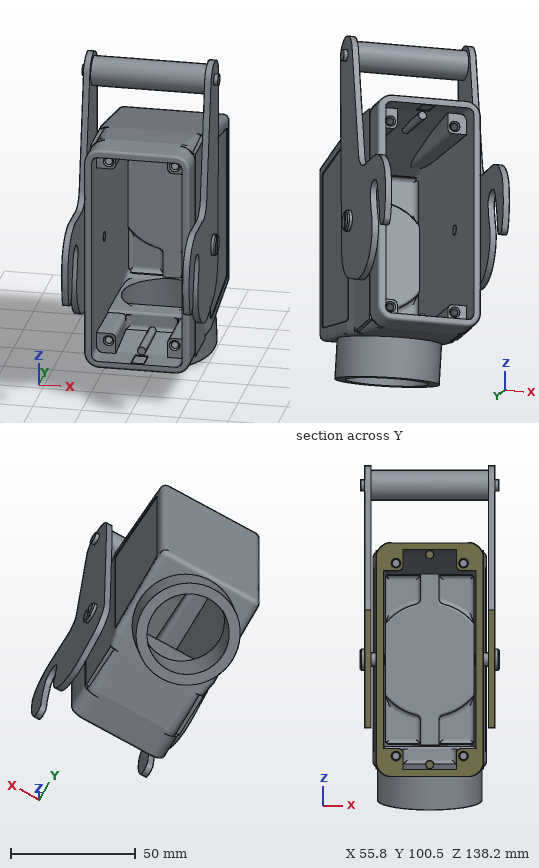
import cadquery as cq
import math


collar_half_width = 21.5
collar_half_height = 47.0
collar_depth = 11.3
collar_corner = 6.1
rim_fillet = 1.1

waist_half_width = 20.3
waist_front_y = 13.1
waist_front_corner = 4.4
waist_back_corner = 2.2

shoulder_y = 31.8
shoulder_half_height = 44.5
step_y = 35.6
step_half_width = 22.2
step_half_height = 43.8
flare_y = 38.0
flare_half_height = 43.4

rear_half_width = 22.8
rear_half_height = 36.2
rear_y = 75.9
rear_edge = 2.6
rear_end_fillet = 2.5

pad_half_height = 43.8
pad_front_y = 12.5
label_depth = 0.4
label_front_y = 37.2
label_back_y = 70.9
label_front_half_height = 38.0
label_back_half_height = 32.0
label_corner = 1.7

mouth_half_width = 18.5
mouth_half_height = 44.1
mouth_corner = 2.8
throat_half_width = 18.2
throat_half_height = 41.9
wall = 2.8
floor_y = rear_y - wall
floor_half_width = 17.8
floor_half_height = 33.7
floor_corner = 2.0
plateau_height = 3.0
plateau_radius = 23.0
plateau_stem_half_width = 3.7
plateau_corner = 2.2
plateau_edge_fillet = 1.0
recess_fillet = 1.8

post_front_y = 9.7
post_inner_x = 10.6
post_inner_z = 35.6
post_corner = 2.1
screw_x = 13.5
screw_z = 38.7
screw_diameter = 3.0
screw_countersink = 4.3
screw_depth = 11.0
coding_pin_radius = 1.7
coding_pin_z = 42.1
coding_groove_width = 5.3
coding_groove_depth = 0.4
coding_groove_front_y = 1.1

spout_tilt = 11.0
spout_radius = 21.0
spout_end_y = 56.6
spout_end_z = -56.4
spout_length = 18.2
bore_radius = 16.6
bore_depth = 24.2
spout_step_y = 31.8
spout_step_top_z = -34.8
spout_step_foot_z = -42.0
spout_step_fillet = 1.8
spout_step_edge = 1.1

plate_inner_x = 23.5
plate_thickness = 2.6
plate_outer_x = plate_inner_x + plate_thickness
handle_y = 28.6
handle_z = 69.9
handle_end_radius = 7.9
roller_radius = 6.1
handle_pin_radius = 2.3
handle_pin_end_x = 27.8

pivot_y = 24.7
pivot_radius = 2.8
pivot_tip_radius = 2.1
pivot_head_radius = 4.3
pivot_head_end_x = 27.9
pivot_head_chamfer = 0.5
screwdriver_width = 1.0
screwdriver_depth = 0.7
screwdriver_tilt = 5.0

lobe_y = 11.3
lobe_z = -10.2
lobe_radius = 17.1
hook_y = -8.5
hook_z = 3.9
hook_radius = 14.5
hook_slot_y = -8.0
hook_slot_z = 3.6
hook_slot_radius = 4.8
hook_tip_y = -18.8
hook_tip_z = -10.0
hook_tip_radius = 3.0

arm_rear_top = (36.2, 52.0)
arm_rear_foot = (34.7, -10.4)
arm_front_foot = (12.3, 24.2)
hollow_middle = (10.0, 20.0)
hollow_end = (5.4, 18.1)
hook_outer_bulge = (-23.1, -4.5)
hook_inner_bulge = (-14.6, -2.8)
lobe_neck = (-3.9, -0.8)
heel_middle = (32.3, -18.0)
heel_end = (27.0, -23.1)


def block(x_min, x_max, y_min, y_max, z_min, z_max):
    size = (x_max - x_min, y_max - y_min, z_max - z_min)
    return cq.Workplane("XY").box(*size, centered=False).translate((x_min, y_min, z_min))


def rod(radius, x_start, x_end, y, z):
    """Cylinder along X."""
    return cq.Workplane("YZ", origin=(x_start, y, z)).circle(radius).extrude(x_end - x_start)


def taper(front, back):
    """Straight-sided body between two sections given as (y, half width, half height, corner)."""
    front_y = front[0]
    outlines = []
    for y, half_width, half_height, corner in (front, back):
        outline = cq.Sketch().rect(2 * half_width, 2 * half_height).vertices().fillet(corner)
        outlines.append(outline.moved(cq.Location(cq.Vector(0, 0, front_y - y))))
    return cq.Workplane("XZ", origin=(0, front_y, 0)).placeSketch(*outlines).loft(ruled=True)


def shell_body():
    rim = (0, collar_half_width, collar_half_height, collar_corner)
    collar_back = (collar_depth, collar_half_width, collar_half_height, collar_corner)
    waist_start = (collar_depth, waist_half_width, collar_half_height, waist_front_corner)
    waist_front = (waist_front_y, waist_half_width, collar_half_height, waist_front_corner)
    waist_back = (shoulder_y, waist_half_width, shoulder_half_height, waist_back_corner)
    shoulder = (shoulder_y, collar_half_width, shoulder_half_height, rear_edge)
    step = (step_y, step_half_width, step_half_height, rear_edge)
    flare = (flare_y, rear_half_width, flare_half_height, rear_edge)
    rear = (rear_y, rear_half_width, rear_half_height, rear_edge)

    collar = taper(rim, collar_back).faces("<Y").edges().fillet(rim_fillet)
    rear_body = taper(flare, rear).faces(">Y").edges().fillet(rear_end_fillet)
    body = collar.union(rear_body)
    middle_parts = (
        (waist_start, waist_front),
        (waist_front, waist_back),
        (shoulder, step),
        (step, flare),
    )
    for front, back in middle_parts:
        body = body.union(taper(front, back))
    pads = block(-collar_half_width, collar_half_width, pad_front_y, shoulder_y,
                 -pad_half_height, pad_half_height)
    return body.union(pads)


def label_recess(side):
    outline = [
        (label_front_y, -label_front_half_height),
        (label_front_y, label_front_half_height),
        (label_back_y, label_back_half_height),
        (label_back_y, -label_back_half_height),
    ]
    start = side * (rear_half_width - label_depth)
    recess = cq.Workplane("YZ", origin=(start, 0, 0)).polyline(outline).close().extrude(side * wall)
    return recess.edges("|X").fillet(label_corner)


def cavity():
    mouth = (0, mouth_half_width, mouth_half_height, mouth_corner)
    mouth_back = (collar_depth, mouth_half_width, mouth_half_height, mouth_corner)
    throat = (shoulder_y, throat_half_width, throat_half_height, mouth_corner)
    floor = (floor_y, floor_half_width, floor_half_height, floor_corner)
    return taper(mouth, mouth_back).union(taper(mouth_back, throat)).union(taper(throat, floor))


def floor_field(y_front, y_back):
    """Round field with a stem above and below it, in the middle of the cavity floor."""
    plane = cq.Workplane("XZ", origin=(0, y_back, 0))
    height = y_back - y_front
    disc = plane.circle(plateau_radius).extrude(height)
    stem = plane.rect(2 * plateau_stem_half_width, 2 * rear_half_height).extrude(height)
    around_stem = cq.selectors.BoxSelector(
        (-2 * plateau_stem_half_width, 0, -floor_half_height),
        (2 * plateau_stem_half_width, rear_y, floor_half_height),
    )
    return disc.union(stem).edges("|Y").edges(around_stem).fillet(plateau_corner)


def floor_plateau():
    """Raised field on the cavity floor, with a rounded foot all around the four recesses beside it."""
    top_y = floor_y - plateau_height
    plateau = floor_field(top_y, floor_y).faces("<Y").edges().fillet(plateau_edge_fillet)
    foot_y = top_y + plateau_edge_fillet
    slab = block(-rear_half_width, rear_half_width, foot_y, floor_y, -rear_half_height, rear_half_height)
    recesses = block(-floor_half_width, floor_half_width, foot_y, floor_y,
                     -floor_half_height, floor_half_height)
    recesses = recesses.cut(floor_field(foot_y, floor_y)).faces(">Y").edges().fillet(recess_fillet)
    return plateau.union(slab.cut(recesses))


def screw_post(x_side, z_side):
    post = block(post_inner_x, mouth_half_width, post_front_y, floor_y, post_inner_z, mouth_half_height)
    post = post.edges("|Y and <X and <Z").fillet(post_corner)
    hole = cq.Workplane("XZ", origin=(screw_x, post_front_y, screw_z))
    post = post.cut(hole.circle(screw_diameter / 2).extrude(-screw_depth))
    sink_depth = (screw_countersink - screw_diameter) / 2
    sink = cq.Solid.makeCone(screw_countersink / 2, screw_diameter / 2, sink_depth,
                             cq.Vector(screw_x, post_front_y, screw_z), cq.Vector(0, 1, 0))
    post = post.cut(cq.Workplane(sink))
    if x_side < 0:
        post = post.mirror("YZ")
    if z_side < 0:
        post = post.mirror("XY")
    return post


def spout_step():
    """Raised cavity floor above the spout, with a rounded front face between the lower posts."""
    step_floor = block(-throat_half_width, throat_half_width, spout_step_y, floor_y,
                       -throat_half_height, spout_step_top_z)
    step_floor = step_floor.edges("<Y and >Z").fillet(spout_step_edge)
    foot = block(-post_inner_x, post_inner_x, spout_step_y - spout_step_fillet, spout_step_y,
                 -throat_half_height, spout_step_top_z - spout_step_edge)
    hollow = block(-post_inner_x, post_inner_x, post_front_y, spout_step_y, spout_step_foot_z, 0)
    hollow = hollow.edges(">Y").edges("|Z or <Z").fillet(spout_step_fillet)
    return step_floor.union(foot.cut(hollow))


def cavity_fittings():
    fittings = floor_plateau().union(spout_step())
    for z_side in (-1, 1):
        pin = cq.Workplane("XZ", origin=(0, post_front_y, z_side * coding_pin_z))
        fittings = fittings.union(pin.circle(coding_pin_radius).extrude(post_front_y - shoulder_y))
        for x_side in (-1, 1):
            fittings = fittings.union(screw_post(x_side, z_side))
    return fittings


def spout_cylinder(radius, length):
    """Cylinder on the tilted spout axis, rising from the open end of the spout."""
    tilt = math.radians(spout_tilt)
    axis = cq.Vector(0, -math.sin(tilt), math.cos(tilt))
    return cq.Workplane(cq.Solid.makeCylinder(radius, length, cq.Vector(0, spout_end_y, spout_end_z), axis))


def hood():
    inside = cavity()
    body = shell_body().union(spout_cylinder(spout_radius, spout_length))
    for side in (-1, 1):
        body = body.cut(label_recess(side))
    body = body.cut(inside.cut(cavity_fittings()))
    groove_top = mouth_half_height + coding_groove_depth
    grooves = block(-coding_groove_width / 2, coding_groove_width / 2, coding_groove_front_y,
                    post_front_y, -groove_top, groove_top)
    return body.cut(grooves).cut(spout_cylinder(bore_radius, bore_depth))


def on_circle(y, z, radius, degrees):
    angle = math.radians(degrees)
    return (y + radius * math.cos(angle), z + radius * math.sin(angle))


def bail_plate(side):
    """Side plate: handle arm, round lobe and a hook that opens downward."""
    handle = (handle_y, handle_z, handle_end_radius)
    lobe = (lobe_y, lobe_z, lobe_radius)
    hook = (hook_y, hook_z, hook_radius)
    slot = (hook_slot_y, hook_slot_z, hook_slot_radius)
    tip = (hook_tip_y, hook_tip_z, hook_tip_radius)
    outline = (
        cq.Workplane("YZ", origin=(side * plate_inner_x, 0, 0))
        .moveTo(*on_circle(*handle, 10))
        .threePointArc(on_circle(*handle, 90), on_circle(*handle, 172))
        .lineTo(*arm_front_foot)
        .threePointArc(hollow_middle, hollow_end)
        .lineTo(*on_circle(*hook, 90))
        .threePointArc(on_circle(*hook, 135), on_circle(*hook, 180))
        .threePointArc(hook_outer_bulge, on_circle(*tip, 190))
        .threePointArc(on_circle(*tip, 270), on_circle(*tip, 350))
        .threePointArc(hook_inner_bulge, on_circle(*slot, 180))
        .threePointArc(on_circle(*slot, 90), on_circle(*slot, 0))
        .threePointArc(lobe_neck, on_circle(*lobe, 170))
        .threePointArc(on_circle(*lobe, 225), on_circle(*lobe, 290))
        .lineTo(*heel_end)
        .threePointArc(heel_middle, arm_rear_foot)
        .lineTo(*arm_rear_top)
        .close()
    )
    return outline.extrude(side * plate_thickness)


def pivot_screw(side):
    tip = rod(pivot_tip_radius, side * throat_half_width, side * waist_half_width, pivot_y, 0)
    shank = rod(pivot_radius, side * waist_half_width, side * plate_outer_x, pivot_y, 0).union(tip)
    head = rod(pivot_head_radius, side * plate_outer_x, side * pivot_head_end_x, pivot_y, 0)
    head = head.faces(">X" if side > 0 else "<X").chamfer(pivot_head_chamfer)
    slot = cq.Workplane("YZ").rect(screwdriver_width, 3 * pivot_head_radius).extrude(side * screwdriver_depth)
    slot = slot.rotate((0, 0, 0), (1, 0, 0), screwdriver_tilt)
    slot = slot.translate((side * (pivot_head_end_x - screwdriver_depth), pivot_y, 0))
    return shank.union(head.cut(slot))


def bail():
    handle = rod(roller_radius, -plate_inner_x, plate_inner_x, handle_y, handle_z)
    handle = handle.union(rod(handle_pin_radius, -handle_pin_end_x, handle_pin_end_x, handle_y, handle_z))
    for side in (-1, 1):
        handle = handle.union(bail_plate(side)).union(pivot_screw(side))
    return handle


result = hood().union(bail())